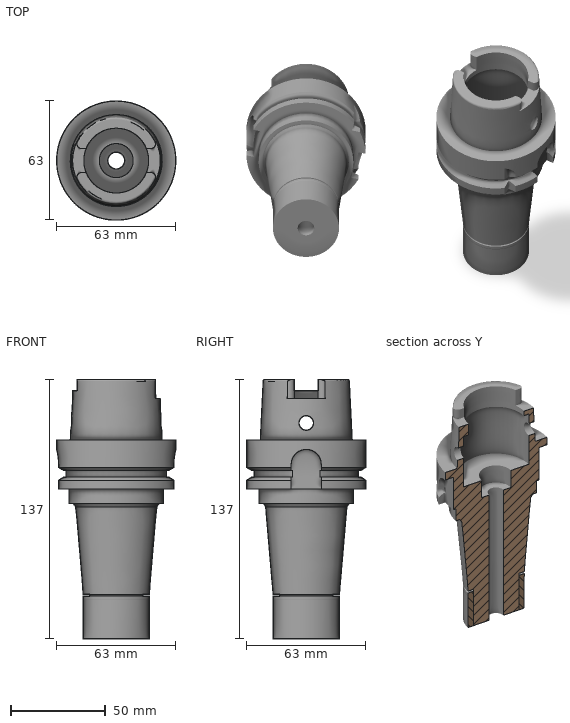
import cadquery as cq
import math


total_length = 137.0
flange_diameter = 63.0

taper_length = 31.9
taper_base_diameter = 48.6
taper_top_diameter = 45.5
rim_radius = 1.1

bore_diameter = 34.2
bore_depth = 13.2
undercut_diameter = 40.0
cavity_depth = 45.2
tube_seat_diameter = 18.0
tube_seat_depth = 11.0
coolant_hole_diameter = 8.8

drive_slot_width = 12.6
drive_slot_corner_radius = 2.5
left_drive_slot_depth = 5.9
right_drive_slot_depth = 10.0
cross_hole_diameter = 7.5
cross_hole_height = 114.0

flange_thickness = 26.0
groove_diameter = 55.1
groove_wall_diameter = 57.8
groove_bottom_width = 3.5
groove_bevel_height = 1.6
lower_rim_thickness = 4.7

pocket_width = 15.9
pocket_center_height = 92.0
side_pocket_floor = 26.6
notch_floor = 20.1
notch_center_y = 28.0

collar_diameter = 50.0
collar_bottom = 71.4
collar_bevel_top_diameter = 45.2
cone_top_diameter = 43.0
cone_top = 69.7
cone_bottom_diameter = 35.1
cone_bottom = 23.4
neck_diameter = 28.2

nut_length = 22.5
nut_diameter = 35.0
nut_band_diameter = 35.1
nut_band_height = 1.8
nut_bevel_height = 0.4

flange_top = total_length - taper_length
flange_bottom = flange_top - flange_thickness
groove_bevel_bottom = flange_bottom + lower_rim_thickness
groove_bottom = groove_bevel_bottom + groove_bevel_height
groove_top = groove_bottom + groove_bottom_width
groove_bevel_top = groove_top + groove_bevel_height
flange_radius = flange_diameter / 2


def revolved(profile):
    """Turn a closed outline of (radius, height) points about the Z axis."""
    return cq.Workplane("YZ").polyline(profile).close().revolve(360, (0, 0), (0, 1))


def cylinder(diameter, bottom, top):
    radius = diameter / 2
    return revolved([(0, bottom), (radius, bottom), (radius, top), (0, top)])


def taper_blank():
    taper = revolved([
        (0, flange_top),
        (taper_base_diameter / 2, flange_top),
        (taper_top_diameter / 2, total_length),
        (0, total_length),
    ])
    return taper.faces(">Z").edges().fillet(rim_radius)


def shank_blank():
    """Flange, collar, cone and neck as one turned shape."""
    return revolved([
        (0, 0),
        (neck_diameter / 2, 0),
        (neck_diameter / 2, cone_bottom),
        (cone_bottom_diameter / 2, cone_bottom),
        (cone_top_diameter / 2, cone_top),
        (collar_bevel_top_diameter / 2, collar_bottom),
        (collar_diameter / 2, collar_bottom),
        (collar_diameter / 2, flange_bottom),
        (flange_radius, flange_bottom),
        (flange_radius, groove_bevel_bottom),
        (groove_wall_diameter / 2, groove_bottom),
        (groove_diameter / 2, groove_bottom),
        (groove_diameter / 2, groove_top),
        (groove_wall_diameter / 2, groove_top),
        (flange_radius, groove_bevel_top),
        (flange_radius, flange_top),
        (0, flange_top),
    ])


def inner_cavity():
    cavity_floor = total_length - cavity_depth
    undercut_top = total_length - bore_depth
    bore = cylinder(bore_diameter, undercut_top, total_length)
    undercut = cylinder(undercut_diameter, cavity_floor, undercut_top)
    tube_seat = cylinder(tube_seat_diameter, cavity_floor - tube_seat_depth, cavity_floor)
    coolant_hole = cylinder(coolant_hole_diameter, 0, total_length)
    return bore.union(undercut).union(tube_seat).union(coolant_hole)


def drive_slot(side, depth):
    """Slot through the taper wall, flared outward by its rounded outer corners."""
    half_width = drive_slot_width / 2
    corner = drive_slot_corner_radius
    top_radius = taper_top_diameter / 2
    center_y = half_width + corner
    center_x = math.sqrt((top_radius - corner) ** 2 - center_y ** 2)
    end_angle = math.atan2(center_y, center_x)
    middle_angle = (end_angle - math.pi / 2) / 2

    def corner_point(angle):
        return (side * (center_x + corner * math.cos(angle)), center_y + corner * math.sin(angle))

    outer_point = (side * flange_radius * math.cos(end_angle), flange_radius * math.sin(end_angle))
    half_slot = (
        cq.Workplane("XY")
        .workplane(offset=total_length - depth)
        .moveTo(0, half_width)
        .lineTo(side * center_x, half_width)
        .threePointArc(corner_point(middle_angle), corner_point(end_angle))
        .lineTo(*outer_point)
        .lineTo(side * flange_radius, 0)
        .lineTo(0, 0)
        .close()
        .extrude(depth)
    )
    return half_slot.union(half_slot.mirror("XZ"))


def flange_pocket(side, floor, center_y):
    """Pocket open at the flange's bottom and outside, with a half-round upper end."""
    half_width = pocket_width / 2
    reach = flange_radius - floor
    return (
        cq.Workplane("YZ")
        .workplane(offset=side * floor)
        .moveTo(center_y - half_width, flange_bottom)
        .lineTo(center_y - half_width, pocket_center_height)
        .threePointArc(
            (center_y, pocket_center_height + half_width),
            (center_y + half_width, pocket_center_height),
        )
        .lineTo(center_y + half_width, flange_bottom)
        .close()
        .extrude(side * reach)
    )


def cross_hole():
    return (
        cq.Workplane("YZ")
        .center(0, cross_hole_height)
        .circle(cross_hole_diameter / 2)
        .extrude(flange_radius, both=True)
    )


def make_holder():
    holder = shank_blank().union(taper_blank()).cut(inner_cavity()).cut(cross_hole())
    holder = holder.cut(drive_slot(-1, left_drive_slot_depth)).cut(drive_slot(1, right_drive_slot_depth))
    for side in (-1, 1):
        holder = holder.cut(flange_pocket(side, side_pocket_floor, 0))
    return holder.cut(flange_pocket(-1, notch_floor, notch_center_y))


def make_nut():
    """Ring around the holder's neck, with a slightly wider band at its upper end."""
    band_bottom = nut_length - nut_band_height
    bevel_bottom = band_bottom - nut_bevel_height
    return revolved([
        (neck_diameter / 2, 0),
        (nut_diameter / 2, 0),
        (nut_diameter / 2, bevel_bottom),
        (nut_band_diameter / 2, band_bottom),
        (nut_band_diameter / 2, nut_length),
        (neck_diameter / 2, nut_length),
    ])


holder = make_holder()
nut = make_nut()

result = cq.Compound.makeCompound([holder.val(), nut.val()])